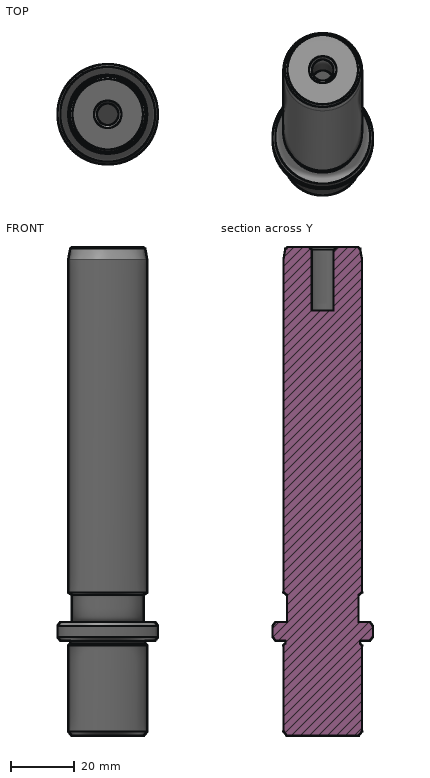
import cadquery as cq

total_length = 155
shank_length = 30.0
collar_thickness = 6.0
neck_length = 8.5

pin_radius = 12.5
collar_radius = 16.0
neck_radius = 11.5
relief_radius = 12.0

shank_chamfer_width = 1.1
shank_chamfer_height = 1.4
relief_height = 0.8
shoulder_chamfer = 0.6
collar_chamfer_width = 1.0
collar_chamfer_height = 1.2
body_chamfer_height = 0.8

lead_length = 4.0
lead_end_radius = 12.0
lead_chamfer_width = 0.8
lead_chamfer_height = 0.6

hole_radius = 3.4
hole_depth = 20.2
countersink_radius = 4.3
countersink_depth = countersink_radius - hole_radius

collar_bottom = shank_length
collar_top = collar_bottom + collar_thickness
neck_top = collar_top + neck_length
shank_top = collar_bottom - relief_height


def make_pin():
    """Revolve the half outline, listed as (radius, height) from the bottom up."""
    outline = [
        (0, 0),
        (pin_radius - shank_chamfer_width, 0),
        (pin_radius, shank_chamfer_height),
        (pin_radius, shank_top - shoulder_chamfer),
        (relief_radius, shank_top),
        (relief_radius, collar_bottom),
        (collar_radius - collar_chamfer_width, collar_bottom),
        (collar_radius, collar_bottom + collar_chamfer_height),
        (collar_radius, collar_top - collar_chamfer_height),
        (collar_radius - collar_chamfer_width, collar_top),
        (neck_radius, collar_top),
        (neck_radius, neck_top),
        (pin_radius, neck_top + body_chamfer_height),
        (pin_radius, total_length - lead_length),
        (lead_end_radius, total_length - lead_chamfer_height),
        (lead_end_radius - lead_chamfer_width, total_length),
        (0, total_length),
    ]
    return cq.Workplane("XZ").polyline(outline).close().revolve(360, (0, 0), (0, 1))


def make_hole():
    """Revolve the flat-bottomed hole and its conical mouth."""
    outline = [
        (0, total_length),
        (countersink_radius, total_length),
        (hole_radius, total_length - countersink_depth),
        (hole_radius, total_length - hole_depth),
        (0, total_length - hole_depth),
    ]
    return cq.Workplane("XZ").polyline(outline).close().revolve(360, (0, 0), (0, 1))


result = make_pin().cut(make_hole())